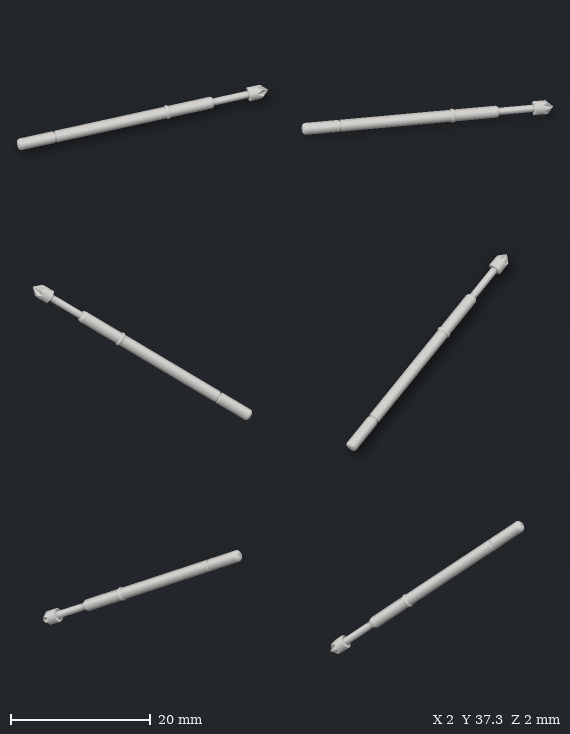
import cadquery as cq
import math

total_length = 37.3

head_radius = 1.0
head_length = 2.95
point_count = 6
ridge_depth = 1.0
valley_depth = 1.8

plunger_radius = 0.52
plunger_length = 5.3

barrel_radius = 0.85
crimp_radius = 0.7
crimp_length = 0.35
tail_fillet = 0.5

ring_radius = 1.0
ring_width = 0.52
ring_from_tip = 15.05

groove_from_tip = 31.78
groove_width = 0.35
groove_depth = 0.15

head_back = total_length - head_length
barrel_mouth = head_back - plunger_length
ring_center = total_length - ring_from_tip
groove_center = total_length - groove_from_tip


def make_body():
    """Revolve the half outline (radius along X, length along Y) about the Y axis."""
    arc_offset = tail_fillet * (1 - math.sqrt(0.5))
    outline = (
        cq.Workplane("XY")
        .moveTo(0, 0)
        .lineTo(barrel_radius - tail_fillet, 0)
        .threePointArc((barrel_radius - arc_offset, arc_offset), (barrel_radius, tail_fillet))
        .lineTo(barrel_radius, groove_center - groove_width / 2)
        .threePointArc(
            (barrel_radius - groove_depth, groove_center),
            (barrel_radius, groove_center + groove_width / 2),
        )
        .lineTo(barrel_radius, ring_center - ring_width / 2)
        .threePointArc(
            (ring_radius, ring_center),
            (barrel_radius, ring_center + ring_width / 2),
        )
        .lineTo(barrel_radius, barrel_mouth - crimp_length)
        .lineTo(crimp_radius, barrel_mouth)
        .lineTo(plunger_radius, barrel_mouth)
        .lineTo(plunger_radius, head_back)
        .lineTo(head_radius, head_back)
        .lineTo(head_radius, total_length)
        .lineTo(0, total_length)
        .close()
    )
    return outline.revolve(360, (0, 0, 0), (0, 1, 0))


def make_star_pyramid():
    """Star-based pyramid with its apex at the tip and its base at the back of the head."""
    ridge_reach = head_length * head_radius / ridge_depth
    valley_reach = head_length * head_radius / valley_depth
    apex = cq.Vector(0, total_length, 0)
    corners = []
    for i in range(2 * point_count):
        reach = ridge_reach if i % 2 == 0 else valley_reach
        angle = math.pi * i / point_count
        corners.append(cq.Vector(reach * math.cos(angle), head_back, reach * math.sin(angle)))
    faces = [cq.Face.makeFromWires(cq.Wire.makePolygon(corners, close=True))]
    for start, end in zip(corners, corners[1:] + corners[:1]):
        faces.append(cq.Face.makeFromWires(cq.Wire.makePolygon([start, end, apex], close=True)))
    return cq.Workplane(obj=cq.Solid.makeSolid(cq.Shell.makeShell(faces)))


def make_point_waste():
    """Material around the star point, taken off the front of the plain round head."""
    oversize_radius = 2 * head_radius
    blank = (
        cq.Workplane("XZ", origin=(0, total_length, 0))
        .circle(oversize_radius)
        .extrude(valley_depth)
    )
    return blank.cut(make_star_pyramid())


result = make_body().cut(make_point_waste())